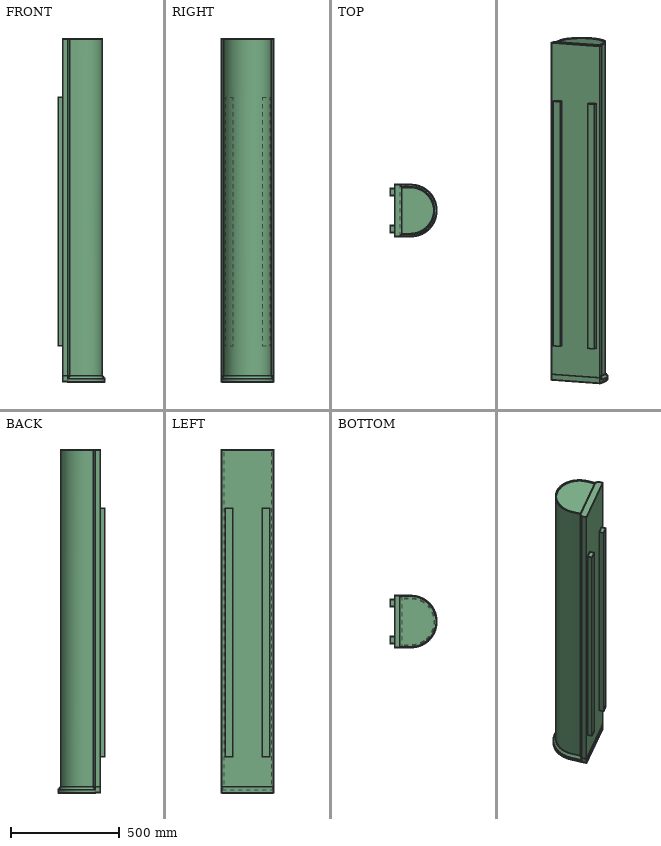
import cadquery as cq

total_height = 1579.0
total_depth = 215.0
total_width = 240.0

rail_depth = 20.0
rail_width = 33.0
rail_height = 1143.0
rail_bottom = 167.0
rail_spacing = 170.0

base_height = 30.0
plinth_height = 3.0
plinth_inset = 3.0
lip_width = 11.0
lip_slope_height = 15.0

slab_depth = 24.0
slab_slope_depth = 10.0
recess_depth = 3.0
rim_width = 3.0

back_x = rail_depth
half_width = total_width / 2
front_half_width = half_width - lip_width
slab_front_x = back_x + slab_depth
slope_front_x = slab_front_x + slab_slope_depth
arc_center_x = total_depth - half_width


def d_profile(bottom, start_x, radius):
    """D outline, flat toward -X, with its round side centred on the column axis."""
    return (
        cq.Workplane("XY", origin=(0, 0, bottom))
        .moveTo(start_x, -radius)
        .lineTo(arc_center_x, -radius)
        .threePointArc((arc_center_x + radius, 0), (arc_center_x, radius))
        .lineTo(start_x, radius)
        .close()
    )


def make_base():
    """D-shaped foot whose rim slopes up to the column wall, raised on an inset plinth."""
    rim_height = base_height - lip_slope_height
    foot = d_profile(plinth_height, back_x, half_width).extrude(rim_height - plinth_height)
    plinth = d_profile(0, slab_front_x, half_width - plinth_inset).extrude(plinth_height)
    slope = (
        d_profile(rim_height, slab_front_x, half_width)
        .workplane(offset=lip_slope_height)
        .moveTo(slope_front_x, -front_half_width)
        .lineTo(arc_center_x, -front_half_width)
        .threePointArc((arc_center_x + front_half_width, 0), (arc_center_x, front_half_width))
        .lineTo(slope_front_x, front_half_width)
        .close()
        .loft(ruled=True)
    )
    slab_foot_height = base_height - plinth_height
    slab_foot = (
        cq.Workplane("XY")
        .box(slab_depth, total_width, slab_foot_height, centered=(False, True, False))
        .translate((back_x, 0, plinth_height))
    )
    slope_foot = slab_transition(plinth_height, slab_foot_height)
    return foot.union(plinth).union(slope).union(slab_foot).union(slope_foot)


def slab_transition(bottom, height):
    """Tapered strip between the slab and the narrower front."""
    return (
        cq.Workplane("XY", origin=(0, 0, bottom))
        .moveTo(slab_front_x, -half_width)
        .lineTo(slope_front_x, -front_half_width)
        .lineTo(slope_front_x, front_half_width)
        .lineTo(slab_front_x, half_width)
        .close()
        .extrude(height)
    )


def make_column():
    """Back slab and rounded front, with a shallow D-shaped recess in the top."""
    column_height = total_height - base_height
    outline = (
        cq.Workplane("XY", origin=(0, 0, base_height))
        .moveTo(back_x, -half_width)
        .lineTo(slab_front_x, -half_width)
        .lineTo(slope_front_x, -front_half_width)
        .lineTo(arc_center_x, -front_half_width)
        .threePointArc((arc_center_x + front_half_width, 0), (arc_center_x, front_half_width))
        .lineTo(slope_front_x, front_half_width)
        .lineTo(slab_front_x, half_width)
        .lineTo(back_x, half_width)
        .close()
    )
    recess_floor = total_height - recess_depth
    recess = d_profile(recess_floor, slope_front_x, front_half_width - rim_width).extrude(recess_depth)
    return outline.extrude(column_height).cut(recess)


def make_rail(center_y):
    """Rectangular rail standing against the back of the column."""
    return (
        cq.Workplane("XY")
        .box(rail_depth, rail_width, rail_height, centered=(False, True, False))
        .translate((0, center_y, rail_bottom))
    )


base = make_base()
column = make_column()
rails = [make_rail(side * rail_spacing / 2) for side in (-1, 1)]

result = cq.Compound.makeCompound([base.val(), column.val(), *[rail.val() for rail in rails]])